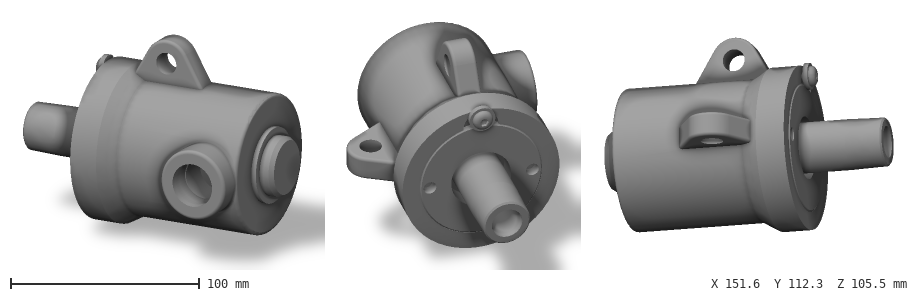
import cadquery as cq
import math

TAPER_END_X = 19.7
CAP_FACE_X = 44.4
FLANGE_FACE_X = 44.9
FLANGE_END_X = 60.3
CONE_END_X = 70.0
BODY_END_X = 141.1
COLLAR_END_X = 143.9
TOTAL_LENGTH = 151.6

FLANGE_DIAMETER = 87.3
BODY_DIAMETER = 76.3
COLLAR_DIAMETER = 41.2
PLUG_DIAMETER = 32.7
SHAFT_DIAMETER = 27.0
SHAFT_TIP_DIAMETER = 25.9

NECK_FILLET = 1.5
BODY_END_FILLET = 1.8
PLUG_CHAMFER_LENGTH = 2.5
PLUG_CHAMFER_HEIGHT = 1.7
SHAFT_TIP_CHAMFER = 0.9

SHAFT_BORE_DIAMETER = 17.0
SHAFT_BORE_DEPTH = 91.0
RECESS_DIAMETER = 33.4
RECESS_DEPTH = 12.1

CAP_DIAMETER = 69.5
CAP_CHAMFER = 1.5
CAP_OPENING_DIAMETER = 67.9
SPANNER_HOLE_DIAMETER = 7.1
SPANNER_HOLE_DEPTH = 6.0
SPANNER_HOLE_OFFSET = 28.5
DRILL_POINT_ANGLE = 118.0

SCREW_HEIGHT = 39.1
WASHER_DIAMETER = 14.3
WASHER_THICKNESS = 2.7
HEAD_DIAMETER = 11.0
HEAD_FLAT_DIAMETER = 5.0
HEAD_LENGTH = 3.2
HEAD_RIM = 0.3
DOME_BULGE = 0.6
SHANK_DIAMETER = 6.7
SHANK_LENGTH = 7.6
SOCKET_ACROSS_FLATS = 4.1
SOCKET_DEPTH = 1.7
POCKET_DIAMETER = 19.5
POCKET_HEIGHT = 32.9
POCKET_DEPTH = 1.5

LUG_X = 82.8
LUG_HOLE_HEIGHT = 49.1
LUG_HOLE_DIAMETER = 12.0
LUG_RADIUS = 12.7
LUG_THICKNESS = 12.9
LUG_FILLET = 1.7
LUG_FLANK_ANGLE = 60.0
LUG_ROOT_HEIGHT = 30.3

PORT_X = 121.6
PORT_DIAMETER = 38.2
PORT_REACH = 50.5
PORT_RIM_FILLET = 1.8
PORT_ROOT_FILLET = 1.5
PORT_BORE_DIAMETER = 22.6
PORT_BORE_DEPTH = 30.3
PORT_COUNTERBORE_DIAMETER = 23.6
PORT_COUNTERBORE_DEPTH = 14.1

AXIS_START = (0, 0, 0)
AXIS_END = (1, 0, 0)


def revolve_about_x(outline):
    """Turn a closed XY outline, lying on the +Y side, about the X axis."""
    return outline.close().revolve(360, AXIS_START, AXIS_END)


def cylinder_x(diameter, start_x, length, z=0.0):
    """Cylinder along +X, its axis at height z above the shaft axis."""
    plane = cq.Workplane("YZ", origin=(start_x, 0, z))
    return plane.circle(diameter / 2).extrude(length)


def make_housing():
    """Flange, conical neck and cylindrical body as one turned shape."""
    flange_radius = FLANGE_DIAMETER / 2
    body_radius = BODY_DIAMETER / 2
    housing = revolve_about_x(
        cq.Workplane("XY")
        .moveTo(FLANGE_FACE_X, 0)
        .lineTo(FLANGE_FACE_X, flange_radius)
        .lineTo(FLANGE_END_X, flange_radius)
        .lineTo(CONE_END_X, body_radius)
        .lineTo(BODY_END_X, body_radius)
        .lineTo(BODY_END_X, 0)
    )
    return housing.faces(">X").edges().fillet(BODY_END_FILLET)


def make_lug():
    """Lug pointing up (+Z) with straight flanks tangent to its round top."""
    flank = math.radians(LUG_FLANK_ANGLE)
    tangent_x = LUG_RADIUS * math.sin(flank)
    tangent_z = LUG_HOLE_HEIGHT + LUG_RADIUS * math.cos(flank)
    root_x = tangent_x + (tangent_z - LUG_ROOT_HEIGHT) / math.tan(flank)
    lug = (
        cq.Workplane("XZ", origin=(LUG_X, 0, 0))
        .moveTo(-root_x, LUG_ROOT_HEIGHT)
        .lineTo(-tangent_x, tangent_z)
        .threePointArc((0, LUG_HOLE_HEIGHT + LUG_RADIUS), (tangent_x, tangent_z))
        .lineTo(root_x, LUG_ROOT_HEIGHT)
        .close()
        .extrude(LUG_THICKNESS / 2, both=True)
    )
    lug = lug.faces("<Y or >Y").edges("not <Z").fillet(LUG_FILLET)
    hole = (
        cq.Workplane("XZ", origin=(LUG_X, 0, LUG_HOLE_HEIGHT))
        .circle(LUG_HOLE_DIAMETER / 2)
        .extrude(LUG_THICKNESS, both=True)
    )
    return lug.cut(hole)


def add_port(body):
    """Join the round port boss on -Y to the body and blend its root."""
    boss = cq.Workplane("XZ", origin=(PORT_X, 0, 0)).circle(PORT_DIAMETER / 2).extrude(PORT_REACH)
    boss = boss.faces("<Y").edges().fillet(PORT_RIM_FILLET)
    return body.union(boss).edges("not (%CIRCLE or %LINE)").fillet(PORT_ROOT_FILLET)


def round_neck(body):
    """Round the inner corner where the cone meets the cylindrical body."""
    corner_point = (CONE_END_X, 0, 0)
    corner = cq.selectors.NearestToPointSelector(corner_point)
    return body.edges("%CIRCLE").edges(corner).fillet(NECK_FILLET)


def make_port_hole():
    """Blind bore with a slightly wider counterbore, both drilled inward from the boss face."""
    face = cq.Workplane("XZ", origin=(PORT_X, -PORT_REACH, 0))
    bore = face.circle(PORT_BORE_DIAMETER / 2).extrude(-PORT_BORE_DEPTH)
    counterbore = face.circle(PORT_COUNTERBORE_DIAMETER / 2).extrude(-PORT_COUNTERBORE_DEPTH)
    return bore.union(counterbore)


def make_rear_plug():
    """Collar and chamfered plug behind the body."""
    plug_radius = PLUG_DIAMETER / 2
    collar_radius = COLLAR_DIAMETER / 2
    return revolve_about_x(
        cq.Workplane("XY")
        .moveTo(CONE_END_X, 0)
        .lineTo(CONE_END_X, plug_radius)
        .lineTo(BODY_END_X, plug_radius)
        .lineTo(BODY_END_X, collar_radius)
        .lineTo(COLLAR_END_X, collar_radius)
        .lineTo(COLLAR_END_X, plug_radius)
        .lineTo(TOTAL_LENGTH - PLUG_CHAMFER_LENGTH, plug_radius)
        .lineTo(TOTAL_LENGTH, plug_radius - PLUG_CHAMFER_HEIGHT)
        .lineTo(TOTAL_LENGTH, 0)
    )


def make_shaft():
    """Shaft with a tapered, chamfered tip; its root is buried in the housing."""
    shaft_radius = SHAFT_DIAMETER / 2
    tip_radius = SHAFT_TIP_DIAMETER / 2
    return revolve_about_x(
        cq.Workplane("XY")
        .lineTo(0, tip_radius - SHAFT_TIP_CHAMFER)
        .lineTo(SHAFT_TIP_CHAMFER, tip_radius)
        .lineTo(TAPER_END_X, shaft_radius)
        .lineTo(CONE_END_X, shaft_radius)
        .lineTo(CONE_END_X, 0)
    )


def make_cap():
    """Plain cap disc with a chamfered outer edge."""
    cap = cylinder_x(CAP_DIAMETER, CAP_FACE_X, FLANGE_END_X - CAP_FACE_X)
    return cap.faces("<X").edges().chamfer(CAP_CHAMFER)


def make_drill_point(diameter, start_x):
    """Cone left by a drill, on the X axis and pointing toward +X."""
    radius = diameter / 2
    point_length = radius / math.tan(math.radians(DRILL_POINT_ANGLE / 2))
    return revolve_about_x(
        cq.Workplane("XY")
        .moveTo(start_x, 0)
        .lineTo(start_x, radius)
        .lineTo(start_x + point_length, 0)
    )


def make_spanner_hole(y):
    """Drilled blind hole with a conical bottom."""
    hole = cylinder_x(SPANNER_HOLE_DIAMETER, CAP_FACE_X, SPANNER_HOLE_DEPTH)
    point = make_drill_point(SPANNER_HOLE_DIAMETER, CAP_FACE_X + SPANNER_HOLE_DEPTH)
    return hole.union(point).translate((0, y, 0))


def make_screw():
    """Button-head screw on a washer, with a hexagon socket."""
    washer_face_x = FLANGE_FACE_X - WASHER_THICKNESS
    head_face_x = washer_face_x - HEAD_LENGTH
    head_radius = HEAD_DIAMETER / 2
    flat_radius = HEAD_FLAT_DIAMETER / 2
    dome_start = (head_face_x, flat_radius)
    dome_end = (washer_face_x - HEAD_RIM, head_radius)
    dome_middle = (
        (dome_start[0] + dome_end[0]) / 2 - DOME_BULGE,
        (dome_start[1] + dome_end[1]) / 2 + DOME_BULGE,
    )
    head = revolve_about_x(
        cq.Workplane("XY")
        .moveTo(head_face_x, 0)
        .lineTo(*dome_start)
        .threePointArc(dome_middle, dome_end)
        .lineTo(washer_face_x, head_radius)
        .lineTo(washer_face_x, 0)
    )
    hexagon_corners = SOCKET_ACROSS_FLATS / math.cos(math.pi / 6)
    hexagon = (
        cq.Workplane("YZ", origin=(head_face_x, 0, 0))
        .polygon(6, hexagon_corners)
        .extrude(SOCKET_DEPTH)
    )
    drill_point = make_drill_point(SOCKET_ACROSS_FLATS, head_face_x + SOCKET_DEPTH)
    head = head.cut(hexagon).cut(drill_point).translate((0, 0, SCREW_HEIGHT))
    washer = cylinder_x(WASHER_DIAMETER, washer_face_x, WASHER_THICKNESS, z=SCREW_HEIGHT)
    shank = cylinder_x(SHANK_DIAMETER, washer_face_x, SHANK_LENGTH, z=SCREW_HEIGHT)
    return washer.union(head).union(shank)


housing = round_neck(add_port(make_housing()))
upper_lug = make_lug()
side_lug = upper_lug.rotate(AXIS_START, AXIS_END, -90)
housing = housing.union(upper_lug).union(side_lug)

pocket = cylinder_x(POCKET_DIAMETER, FLANGE_FACE_X, POCKET_DEPTH, z=POCKET_HEIGHT)
cap_opening = cylinder_x(CAP_OPENING_DIAMETER, FLANGE_FACE_X, CAP_CHAMFER)
housing = housing.cut(pocket).cut(cap_opening)

result = housing.union(make_rear_plug()).union(make_cap())
result = result.cut(cylinder_x(RECESS_DIAMETER, CAP_FACE_X, RECESS_DEPTH))
result = result.union(make_shaft())
for hole_y in (-SPANNER_HOLE_OFFSET, SPANNER_HOLE_OFFSET):
    result = result.cut(make_spanner_hole(hole_y))
result = result.union(make_screw())
result = result.cut(cylinder_x(SHAFT_BORE_DIAMETER, 0, SHAFT_BORE_DEPTH))
result = result.cut(make_port_hole())